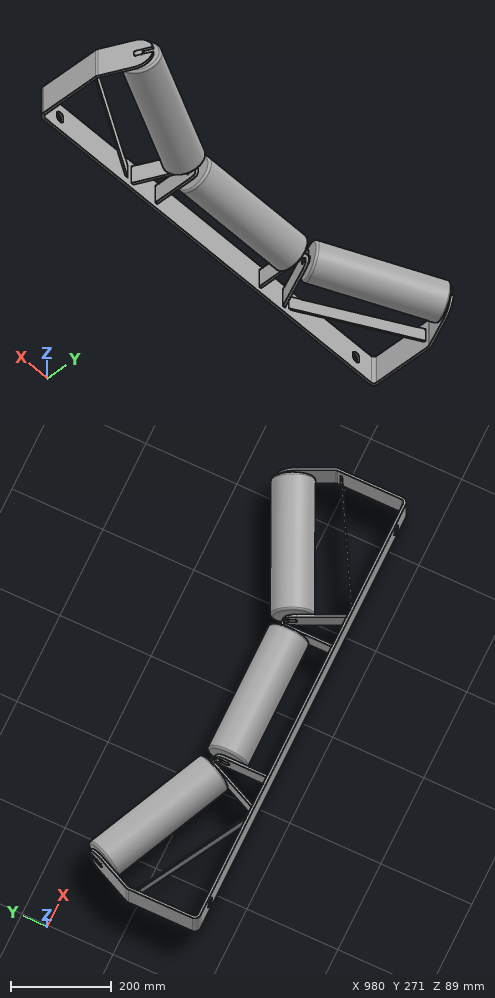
import cadquery as cq
import math

FRAME_LENGTH = 980.0
FRAME_WIDTH = 80.0
BRACKET_WIDTH = 50.0
STRIP_THICKNESS = 6.0
BEND_RADIUS = 13.0
INNER_BEND_RADIUS = BEND_RADIUS - STRIP_THICKNESS

TILT = 25.0
ROLLER_DIAMETER = 89.0
ROLLER_LENGTH = 290.0
ROLLER_EDGE_RADIUS = 5.0
ROLLER_CLEARANCE = 4.0
MIDDLE_AXIS_Y = 99.0
SIDE_ROLLER_X = 313.0
SIDE_ROLLER_Y = 171.0

SHAFT_DIAMETER = 20.0
SHAFT_FLATS = 15.0
TIP_HEIGHT = 31.0

HOLE_WIDTH = 19.0
HOLE_HEIGHT = 27.0
HOLE_X = 433.0

BRACE_THICKNESS = 4.0
BRACE_WIDTH = 35.0
BRACE_TOP_Y = 147.0
BRACE_FOOT_X = 235.0

HALF_LENGTH = FRAME_LENGTH / 2
SUPPORT_DISTANCE = ROLLER_LENGTH / 2 + ROLLER_CLEARANCE
SHAFT_HALF_LENGTH = SUPPORT_DISTANCE + STRIP_THICKNESS

SIN = math.sin(math.radians(TILT))
COS = math.cos(math.radians(TILT))
TAN = SIN / COS
MIDDLE_CENTRE = (0, MIDDLE_AXIS_Y)
RIGHT_CENTRE = (SIDE_ROLLER_X, SIDE_ROLLER_Y)


def on_right_roller(along, up):
    """Point placed along the right roller axis (outward) and square to it (upward)."""
    x = SIDE_ROLLER_X + along * COS - up * SIN
    y = SIDE_ROLLER_Y + along * SIN + up * COS
    return (x, y)


def on_support_face(along, x=None, y=None):
    """Point on a face square to the right roller axis, at a given x or a given y."""
    face_x, face_y = on_right_roller(along, 0)
    if x is None:
        return (face_x - (y - face_y) * TAN, y)
    return (x, face_y - (x - face_x) / TAN)


def extrude_strip(outline, width):
    """Prism of an XY outline, centred on Z = 0."""
    return cq.Workplane("XY").polyline(outline).close().extrude(width / 2, both=True)


def round_bend(body, point, radius):
    """Round the Z edge of the body that passes through an XY point."""
    return body.edges(cq.selectors.NearestToPointSelector((*point, 0))).fillet(radius)


def both_sides(shape):
    """The shape together with its mirror image across X = 0."""
    return [shape, shape.mirror("YZ")]


def support_plane(centre, angle, along):
    """Plane square to a roller axis; local x points up the support, local y along Z."""
    cos, sin = math.cos(math.radians(angle)), math.sin(math.radians(angle))
    origin = (centre[0] + along * cos, centre[1] + along * sin, 0)
    return cq.Plane(origin=origin, xDir=(-sin, cos, 0), normal=(cos, sin, 0))


def shaft_end(plane, length):
    """Shaft end with two flats, extruded from a plane; a negative length goes backward."""
    flats = cq.Workplane(plane).rect(SHAFT_DIAMETER, SHAFT_FLATS).extrude(length)
    return cq.Workplane(plane).circle(SHAFT_DIAMETER / 2).extrude(length).intersect(flats)


def make_roller(centre, angle):
    """Roller with its shaft, the axis turned by the angle in the XY plane."""
    shell = cq.Workplane("YZ").workplane(offset=-ROLLER_LENGTH / 2)
    shell = shell.circle(ROLLER_DIAMETER / 2).extrude(ROLLER_LENGTH)
    shell = shell.edges().fillet(ROLLER_EDGE_RADIUS)
    shaft = cq.Workplane("YZ").workplane(offset=-SUPPORT_DISTANCE)
    shaft = shaft.circle(SHAFT_DIAMETER / 2).extrude(2 * SUPPORT_DISTANCE)
    roller = shell.union(shaft)
    for end in (0, 180):
        plane = support_plane((0, 0), end, SUPPORT_DISTANCE)
        roller = roller.union(shaft_end(plane, STRIP_THICKNESS))
    return roller.rotate((0, 0, 0), (0, 0, 1), angle).translate((*centre, 0))


def shaft_slot(plane, depth):
    """Slot cutter that is open at the support tip and fits the shaft at its bottom."""
    reach = TIP_HEIGHT + STRIP_THICKNESS
    opening = cq.Workplane(plane).center(reach / 2, 0).rect(reach, SHAFT_FLATS).extrude(depth)
    return opening.union(shaft_end(plane, depth))


def make_frame():
    inner_x = HALF_LENGTH - STRIP_THICKNESS
    outer_bend = on_support_face(SHAFT_HALF_LENGTH, x=HALF_LENGTH)
    inner_bend = on_support_face(SUPPORT_DISTANCE, x=inner_x)
    right_half = [
        (HALF_LENGTH, 0),
        outer_bend,
        on_right_roller(SHAFT_HALF_LENGTH, TIP_HEIGHT),
        on_right_roller(SUPPORT_DISTANCE, TIP_HEIGHT),
        inner_bend,
        (inner_x, STRIP_THICKNESS),
    ]
    left_half = [(-x, y) for x, y in reversed(right_half)]
    frame = extrude_strip(right_half + left_half, FRAME_WIDTH)
    for side in (-1, 1):
        for x, y in [(HALF_LENGTH, 0), outer_bend]:
            frame = round_bend(frame, (side * x, y), BEND_RADIUS)
        for x, y in [(inner_x, STRIP_THICKNESS), inner_bend]:
            frame = round_bend(frame, (side * x, y), INNER_BEND_RADIUS)

    for cutter in both_sides(tip_rounding()):
        frame = frame.cut(cutter)
    arm_face = support_plane(RIGHT_CENTRE, TILT, SUPPORT_DISTANCE)
    for cutter in both_sides(shaft_slot(arm_face, STRIP_THICKNESS)):
        frame = frame.cut(cutter)
    holes = (
        cq.Workplane("XZ")
        .pushPoints([(-HOLE_X, 0), (HOLE_X, 0)])
        .slot2D(HOLE_HEIGHT, HOLE_WIDTH, 90)
        .extrude(-STRIP_THICKNESS)
    )
    return frame.cut(holes)


def tip_rounding():
    """Cutter that leaves a full round at the tip of the right arm."""
    radius = FRAME_WIDTH / 2
    plane = support_plane(RIGHT_CENTRE, TILT, SUPPORT_DISTANCE)
    centre_height = TIP_HEIGHT - radius
    corner = cq.Workplane(plane).center(centre_height + radius / 2, 0)
    corner = corner.rect(radius, FRAME_WIDTH).extrude(STRIP_THICKNESS)
    round_tip = cq.Workplane(plane).center(centre_height, 0).circle(radius).extrude(STRIP_THICKNESS)
    return corner.cut(round_tip)


def make_right_bracket():
    """Bracket between the middle and right rollers: a plumb leg and an inclined leg."""
    plumb_outer = SUPPORT_DISTANCE
    plumb_inner = SUPPORT_DISTANCE + STRIP_THICKNESS
    outer_apex = on_support_face(-SUPPORT_DISTANCE, x=plumb_outer)
    inner_apex = on_support_face(-SHAFT_HALF_LENGTH, x=plumb_inner)
    bracket = extrude_strip(
        [
            (plumb_outer, STRIP_THICKNESS),
            outer_apex,
            on_support_face(-SUPPORT_DISTANCE, y=STRIP_THICKNESS),
            on_support_face(-SHAFT_HALF_LENGTH, y=STRIP_THICKNESS),
            inner_apex,
            (plumb_inner, STRIP_THICKNESS),
        ],
        BRACKET_WIDTH,
    )
    bracket = round_bend(bracket, inner_apex, INNER_BEND_RADIUS)
    bracket = round_bend(bracket, outer_apex, BEND_RADIUS)
    top_y = bracket.val().BoundingBox().ymax
    bracket = bracket.intersect(bracket_arch(top_y))
    plumb_face = support_plane(MIDDLE_CENTRE, 0, SUPPORT_DISTANCE)
    inclined_face = support_plane(RIGHT_CENTRE, TILT, -SUPPORT_DISTANCE)
    bracket = bracket.cut(shaft_slot(plumb_face, BEND_RADIUS))
    return bracket.cut(shaft_slot(inclined_face, -BEND_RADIUS))


def bracket_arch(top_y):
    """Block along X, from the base up to a full round that shapes the bracket top."""
    radius = BRACKET_WIDTH / 2
    return (
        cq.Workplane("YZ")
        .moveTo(0, -radius)
        .lineTo(top_y - radius, -radius)
        .threePointArc((top_y, 0), (top_y - radius, radius))
        .lineTo(0, radius)
        .close()
        .extrude(HALF_LENGTH)
    )


def make_right_brace():
    upright_x = HALF_LENGTH - STRIP_THICKNESS
    angle = math.atan2(BRACE_TOP_Y - STRIP_THICKNESS, upright_x - BRACE_FOOT_X)
    return extrude_strip(
        [
            (BRACE_FOOT_X, STRIP_THICKNESS),
            (upright_x, BRACE_TOP_Y),
            (upright_x, BRACE_TOP_Y - BRACE_THICKNESS / math.cos(angle)),
            (BRACE_FOOT_X + BRACE_THICKNESS / math.sin(angle), STRIP_THICKNESS),
        ],
        BRACE_WIDTH,
    )


frame = make_frame()
brackets = both_sides(make_right_bracket())
braces = both_sides(make_right_brace())
rollers = [make_roller(MIDDLE_CENTRE, 0)]
rollers += both_sides(make_roller(RIGHT_CENTRE, TILT))

bodies = [frame, *brackets, *braces, *rollers]
result = cq.Compound.makeCompound([body.val() for body in bodies])